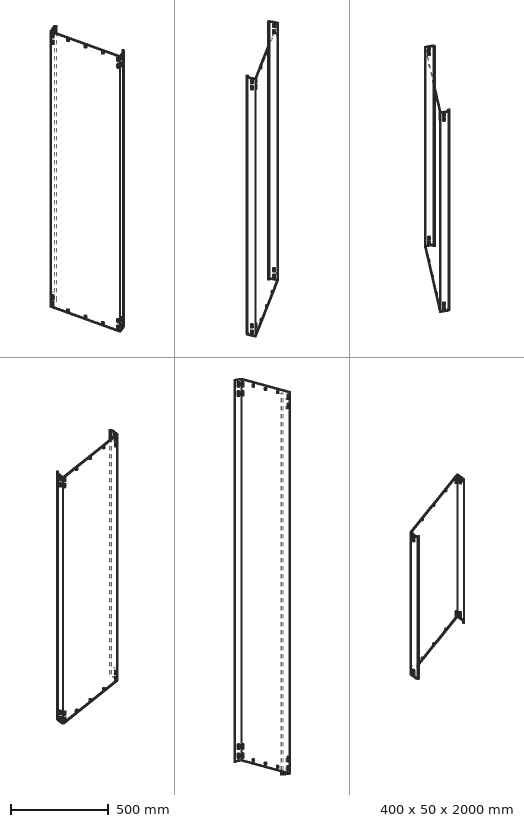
import cadquery as cq
import math

HEIGHT = 2000.0
WIDTH = 400.0
DEPTH = 50.0
SHEET = 2.0

LIP_ANGLE = math.radians(50)
LIP_BEND_RADIUS = 3.0
LIP_LENGTH = 9.0
HEM_GAP = 2.0
HEM_LENGTH = 7.0

SLOT_WIDTH = 9.0
SLOT_LENGTH = 25.0
SLOT_END_DISTANCE = 25.0
SLOT_PITCH = 48.0
FRONT_SLOT_EDGE_DISTANCE = 12.0
SIDE_SLOT_FRONT_DISTANCE = 20.0

HOLE_DIAMETER = 10.0
HOLE_PITCH = 100.0
HOLE_END_DISTANCE = 18.0

CUTTER_LENGTH = 20.0

HALF_WIDTH = WIDTH / 2
FRONT = -DEPTH / 2
BACK = DEPTH / 2


def step(point, angle, distance):
    """Move from a point; the angle is measured from +Y toward +X."""
    return (point[0] + distance * math.sin(angle), point[1] + distance * math.cos(angle))


def half_section():
    """Outline of the left half of the folded sheet, seen along Z."""
    across = LIP_ANGLE + math.pi / 2
    outer_bend = LIP_BEND_RADIUS + SHEET
    inner_hem = HEM_GAP / 2
    outer_hem = inner_hem + SHEET

    lip_rise = outer_bend * math.sin(LIP_ANGLE) + LIP_LENGTH * math.cos(LIP_ANGLE)
    hem_rise = inner_hem * math.sin(LIP_ANGLE) + outer_hem
    bend_start = BACK - lip_rise - hem_rise
    bend_centre = (-HALF_WIDTH + outer_bend, bend_start)

    def on_bend(radius, angle):
        return step(bend_centre, angle - math.pi / 2, radius)

    lip_outer_start = on_bend(outer_bend, LIP_ANGLE)
    lip_inner_start = on_bend(LIP_BEND_RADIUS, LIP_ANGLE)
    lip_outer_end = step(lip_outer_start, LIP_ANGLE, LIP_LENGTH)
    lip_inner_end = step(lip_inner_start, LIP_ANGLE, LIP_LENGTH)

    hem_centre = step(lip_outer_end, across, -inner_hem)
    hem_inner_start = step(hem_centre, across, -inner_hem)
    hem_outer_start = step(hem_centre, across, -outer_hem)

    return (
        cq.Workplane("XY")
        .moveTo(0, FRONT)
        .lineTo(-HALF_WIDTH, FRONT)
        .lineTo(-HALF_WIDTH, bend_start)
        .threePointArc(on_bend(outer_bend, LIP_ANGLE / 2), lip_outer_start)
        .lineTo(*lip_outer_end)
        .threePointArc(step(hem_centre, LIP_ANGLE, inner_hem), hem_inner_start)
        .lineTo(*step(hem_inner_start, LIP_ANGLE, -HEM_LENGTH))
        .lineTo(*step(hem_outer_start, LIP_ANGLE, -HEM_LENGTH))
        .lineTo(*hem_outer_start)
        .threePointArc(step(hem_centre, LIP_ANGLE, outer_hem), lip_inner_end)
        .lineTo(*lip_inner_start)
        .threePointArc(on_bend(LIP_BEND_RADIUS, LIP_ANGLE / 2), (-HALF_WIDTH + SHEET, bend_start))
        .lineTo(-HALF_WIDTH + SHEET, FRONT + SHEET)
        .lineTo(0, FRONT + SHEET)
        .close()
    )


def folded_sheet():
    half = half_section().extrude(HEIGHT / 2, both=True)
    return half.union(half.mirror("YZ"))


def slot_heights():
    """Z of the slot centres: a pair at each end of the panel."""
    outer = HEIGHT / 2 - SLOT_END_DISTANCE
    inner = outer - SLOT_PITCH
    return [-outer, -inner, inner, outer]


def front_slots():
    x = HALF_WIDTH - FRONT_SLOT_EDGE_DISTANCE
    return (
        cq.Workplane("XZ", origin=(0, FRONT, 0))
        .pushPoints([(side * x, z) for side in (-1, 1) for z in slot_heights()])
        .slot2D(SLOT_LENGTH, SLOT_WIDTH, 90)
        .extrude(CUTTER_LENGTH / 2, both=True)
    )


def side_slots():
    """Slots through both side walls, cut in one pass across the open tray."""
    y = FRONT + SIDE_SLOT_FRONT_DISTANCE
    return (
        cq.Workplane("YZ")
        .pushPoints([(y, z) for z in slot_heights()])
        .slot2D(SLOT_LENGTH, SLOT_WIDTH, 90)
        .extrude(HALF_WIDTH + CUTTER_LENGTH, both=True)
    )


def front_holes():
    z = HEIGHT / 2 - HOLE_END_DISTANCE
    return (
        cq.Workplane("XZ", origin=(0, FRONT, 0))
        .pushPoints([(i * HOLE_PITCH, end * z) for i in (-1, 0, 1) for end in (-1, 1)])
        .circle(HOLE_DIAMETER / 2)
        .extrude(CUTTER_LENGTH / 2, both=True)
    )


result = folded_sheet().cut(front_slots()).cut(side_slots()).cut(front_holes())